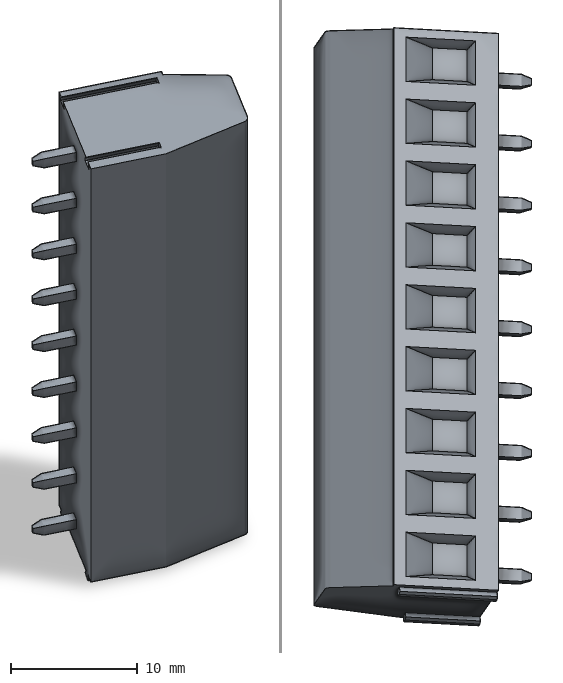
import cadquery as cq


way_count = 9
pitch = 5.08
housing_height = way_count * pitch
housing_width = 9.0
housing_depth = 13.5
half_width = housing_width / 2

wire_shelf_y = 8.4
wire_shelf_width = 0.35
rear_wall_y = 6.2
crown_left_x = -2.6
crown_right_x = 2.65
crown_radius = 0.5

pocket_depth = 0.85
mouth_y = (1.85, 7.43)
floor_y = (2.36, 5.14)
mouth_height = 3.64
floor_height = 2.6

pin_length = 3.5
pin_tip_length = 0.85
pin_width = 0.8
pin_height = 1.0
tip_width = 0.35
tip_height = 0.5

joint_height = 0.6
neck_width = 0.55
joint_width = 1.0
rib_widest_drop = 0.42
rib_foot_width = 0.5
groove_flare_drop = 0.3
joint_places = ((-3.65, 7.85), (3.4, 6.0))


def make_housing():
    outline = [
        (-half_width, 0),
        (half_width, 0),
        (half_width, rear_wall_y),
        (crown_right_x, housing_depth),
        (crown_left_x, housing_depth),
        (-half_width + wire_shelf_width, wire_shelf_y),
        (-half_width, wire_shelf_y),
    ]
    block = cq.Workplane("XY").polyline(outline).close().extrude(housing_height)
    return block.faces(">Y").edges("|Z").fillet(crown_radius)


def make_pocket(z_centre):
    mouth_length = mouth_y[1] - mouth_y[0]
    mouth_centre = (mouth_y[0] + mouth_y[1]) / 2
    floor_length = floor_y[1] - floor_y[0]
    floor_centre = (floor_y[0] + floor_y[1]) / 2
    return (
        cq.Workplane("YZ", origin=(-half_width, mouth_centre, z_centre))
        .rect(mouth_length, mouth_height)
        .workplane(offset=pocket_depth)
        .center(floor_centre - mouth_centre, 0)
        .rect(floor_length, floor_height)
        .loft(ruled=True)
    )


def make_pin(z_centre):
    shank_length = pin_length - pin_tip_length
    shank = (
        cq.Workplane("XZ", origin=(0, 0, z_centre))
        .rect(pin_width, pin_height)
        .extrude(shank_length)
    )
    tip = (
        cq.Workplane("XZ", origin=(0, -shank_length, z_centre))
        .rect(pin_width, pin_height)
        .workplane(offset=pin_tip_length)
        .rect(tip_width, tip_height)
        .loft(ruled=True)
    )
    return shank.union(tip)


def make_joint_bar(x_centre, z_end, length, sections):
    """Bar along Y whose section is symmetric; sections lists (width, drop below z_end)."""
    right_side = [(width / 2, -drop) for width, drop in sections]
    left_side = [(-x, z) for x, z in reversed(right_side)]
    return (
        cq.Workplane("XZ", origin=(x_centre, 0, z_end))
        .polyline(right_side + left_side)
        .close()
        .extrude(-length)
    )


rib_sections = [(neck_width, 0), (joint_width, rib_widest_drop), (rib_foot_width, joint_height)]
groove_sections = [(neck_width, 0), (joint_width, groove_flare_drop), (joint_width, joint_height)]

result = make_housing()
for way in range(way_count):
    way_z = (way + 0.5) * pitch
    result = result.cut(make_pocket(way_z)).union(make_pin(way_z))

for joint_x, joint_length in joint_places:
    result = result.union(make_joint_bar(joint_x, 0, joint_length, rib_sections))
    result = result.cut(make_joint_bar(joint_x, housing_height, joint_length, groove_sections))